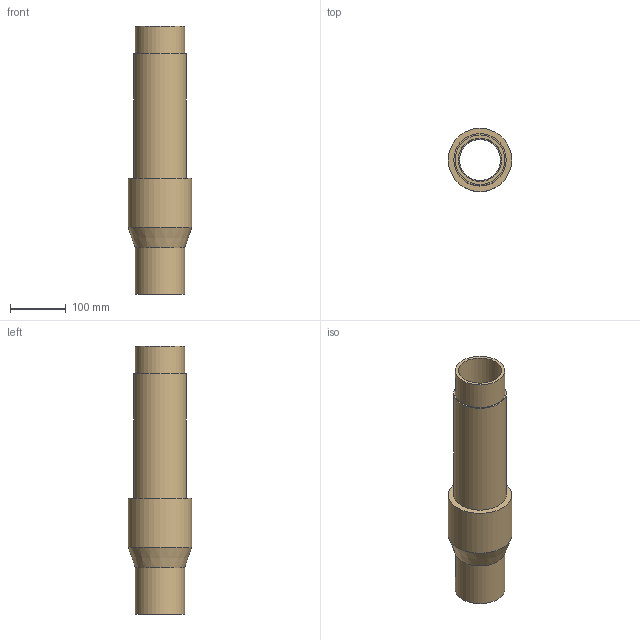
import cadquery as cq

total_length = 482.0
lower_neck_length = 83.0
cone_length = 37.0
collar_length = 88.0
upper_neck_length = 50.0

neck_diameter = 88.9
collar_diameter = 114.3
sleeve_diameter = 94.0

upper_bore_diameter = 77.9
lower_bore_diameter = 73.7

cone_bottom_z = lower_neck_length
collar_bottom_z = cone_bottom_z + cone_length
collar_top_z = collar_bottom_z + collar_length
sleeve_top_z = total_length - upper_neck_length
bore_step_z = cone_bottom_z


def make_body():
    """Solid of revolution about Z: neck, cone, collar, sleeve and upper neck."""
    neck_radius = neck_diameter / 2
    collar_radius = collar_diameter / 2
    sleeve_radius = sleeve_diameter / 2
    profile = (
        cq.Workplane("XZ")
        .lineTo(neck_radius, 0)
        .lineTo(neck_radius, cone_bottom_z)
        .lineTo(collar_radius, collar_bottom_z)
        .lineTo(collar_radius, collar_top_z)
        .lineTo(sleeve_radius, collar_top_z)
        .lineTo(sleeve_radius, sleeve_top_z)
        .lineTo(neck_radius, sleeve_top_z)
        .lineTo(neck_radius, total_length)
        .lineTo(0, total_length)
        .close()
    )
    return profile.revolve(360, (0, 0, 0), (0, 1, 0))


def make_bore():
    """Stepped cylinder that runs the full length of the part."""
    lower_bore = cq.Workplane("XY").circle(lower_bore_diameter / 2).extrude(total_length)
    upper_bore = (
        cq.Workplane("XY")
        .workplane(offset=bore_step_z)
        .circle(upper_bore_diameter / 2)
        .extrude(total_length - bore_step_z)
    )
    return lower_bore.union(upper_bore)


result = make_body().cut(make_bore())